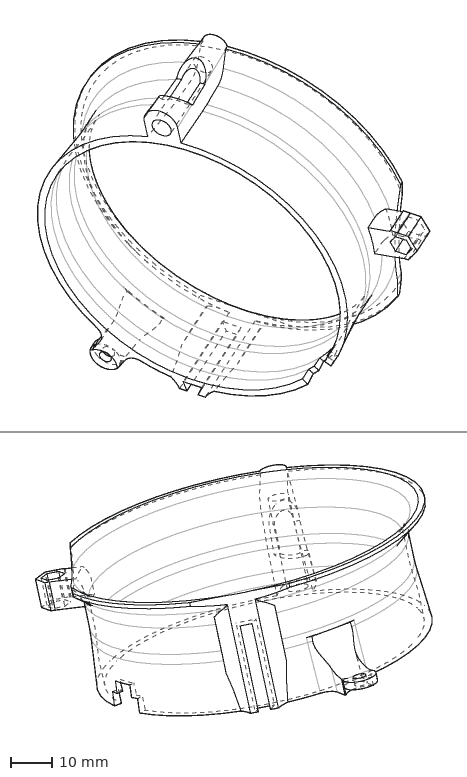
import cadquery as cq
import math

length = 30.5

wall = 1.3
front_radius = 41.3
barrel_radius = 40.0
barrel_front = 12.9
barrel_back = 15.5
flare_start = 22.3
flare_bend = 5.5
throat_bend = 8.1
flare_angle = 50
flange_radius = 45.6
lip_radius = 39.3
lip_end = 3.6
lip_ramp_end = 6.8

bottom_flat = 43.9
side_flat = 41.6
side_flat_end = 12.2
side_lean_x = 40.8
side_lean_z = 20.65

boss_angle = 100.5
boss_front_half_width = 4.5
boss_front_centre = 46.0
boss_back_half_width = 3.3
boss_back_centre = 45.2
boss_hole_centre = 44.9
boss_hole_radius = 2.5
boss_hole_depth = 23.5
window_floor = 45.4
window_mouth = 50.4
window_floor_span = (9.0, 16.7)
window_mouth_span = (5.6, 22.6)

nut_x = 46.8
nut_z = 10.1
nut_head_x = 46.4
nut_head_circumradius = 4.7
nut_flats = 5.0
nut_lug_front = 18.6
nut_lug_back = 25.9
nut_arm_half_width = 4.2

eye_angle = 241.2
eye_distance = 50.2
eye_radius = 4.1
eye_hole_radius = 1.6
eye_front = 2.2
eye_back = 4.1
eye_arm_half_width = 3.8
eye_arm_fillet = 3.4
gusset_height = 8.7
gusset_back = 14.2
end_margin = 0.1

foot_half_width = 3.4
foot_waist = (4.6, -42.1)
foot_root = (7.4, -39.7)
foot_core = 39.0
dovetail_top = 41.1
dovetail_half_width_top = 2.4
dovetail_half_width_bottom = 1.5

notch_angle = -34.3
notch_wide_half_angle = 7.6
notch_narrow_half_angle = 4.4

core_radius = 39.4
beyond = 58.7

cone_slope = math.atan((front_radius - barrel_radius) / ((barrel_front + barrel_back) / 2))
axis_start = (0, 0, 0)
axis_end = (0, 1, 0)


def turned_to(angle, body):
    """Turn a body modelled along +Z to the given angle, counted from +X towards +Z."""
    return body.rotate(axis_start, axis_end, 90 - angle)


def sketch_at(y):
    """Sketch plane across the ring axis with X to the right and Z up."""
    return cq.Workplane("XZ", origin=(0, y, 0))


def bend_outward(profile, start_radius, bend_radius):
    """Continue the barrel to the flare and bend it outward; also return where the bend ends."""

    def bend_point(degrees):
        a = math.radians(degrees)
        return (start_radius + bend_radius * (1 - math.cos(a)), flare_start + bend_radius * math.sin(a))

    bend_end = bend_point(flare_angle)
    profile = profile.lineTo(start_radius, flare_start)
    return profile.threePointArc(bend_point(flare_angle / 2), bend_end), bend_end


def blend_into_barrel(profile, radius):
    """Add the gentle arc from the front cone to the straight barrel."""
    span = barrel_back - barrel_front
    rise = span / 2 * math.tan(cone_slope)
    return profile.lineTo(radius + rise, barrel_front).threePointArc(
        (radius + rise / 4, (barrel_front + barrel_back) / 2), (radius, barrel_back))


def outer_body():
    """Ring without its bore."""
    profile = cq.Workplane("XY").lineTo(front_radius, 0)
    profile, (r, y) = bend_outward(blend_into_barrel(profile, barrel_radius), barrel_radius, flare_bend)
    rim_y = y + (flange_radius - r) / math.tan(math.radians(flare_angle))
    profile = profile.lineTo(flange_radius, rim_y).lineTo(flange_radius, length).lineTo(0, length).close()
    return profile.revolve(360, axis_start, axis_end)


def bore():
    """Inside of the ring: front lip, ramp, cone, barrel and throat of the flare."""
    ramp_end_radius = front_radius - wall - lip_ramp_end * math.tan(cone_slope)
    profile = cq.Workplane("XY").lineTo(lip_radius, 0).lineTo(lip_radius, lip_end)
    profile = profile.lineTo(ramp_end_radius, lip_ramp_end)
    radius = barrel_radius - wall
    profile, (r, y) = bend_outward(blend_into_barrel(profile, radius), radius, throat_bend)
    mouth = r + (length - y) * math.tan(math.radians(flare_angle))
    profile = profile.lineTo(mouth, length).lineTo(0, length).close()
    return profile.revolve(360, axis_start, axis_end)


def trim_envelope():
    """Everything inside the side flat and the bottom flat."""
    lean = (side_lean_x - side_flat) / (side_lean_z - side_flat_end)
    lean_bottom_x = side_flat + lean * (bottom_flat - side_flat_end)
    outline = [
        (-beyond, beyond),
        (side_flat, beyond),
        (side_flat, -side_flat_end),
        (lean_bottom_x, -bottom_flat),
        (-beyond, -bottom_flat),
    ]
    return sketch_at(0).polyline(outline).close().extrude(-length)


def foot():
    """Foot with concave flanks along the whole ring, ending at the bottom flat."""
    waist_x, waist_z = foot_waist
    root_x, root_z = foot_root
    outline = sketch_at(0).moveTo(-foot_half_width, -bottom_flat).lineTo(foot_half_width, -bottom_flat)
    outline = outline.threePointArc((waist_x, waist_z), (root_x, root_z)).lineTo(root_x, -foot_core)
    outline = outline.lineTo(-root_x, -foot_core).lineTo(-root_x, root_z)
    outline = outline.threePointArc((-waist_x, waist_z), (-foot_half_width, -bottom_flat)).close()
    return outline.extrude(-length)


def dovetail():
    """Blind dovetail slot in the foot."""
    top, bottom = dovetail_half_width_top, dovetail_half_width_bottom
    outline = [(-top, -dovetail_top), (top, -dovetail_top), (bottom, -bottom_flat), (-bottom, -bottom_flat)]
    return sketch_at(0).polyline(outline).close().extrude(-flare_start)


def boss_section(plane, half_width, centre):
    """Straight-sided section with a semicircular top about the given centre distance."""
    return (
        plane.moveTo(-half_width, core_radius).lineTo(half_width, core_radius).lineTo(half_width, centre)
        .threePointArc((0, centre + half_width), (-half_width, centre)).close()
    )


def boss():
    """Round-topped boss that narrows towards the flange."""
    front = boss_section(sketch_at(0), boss_front_half_width, boss_front_centre)
    sections = boss_section(front.workplane(offset=-length), boss_back_half_width, boss_back_centre)
    return turned_to(boss_angle, sections.loft(ruled=True))


def boss_cuts():
    """Blind screw hole and the flared window that opens it to the outside."""
    hole = sketch_at(0).center(0, boss_hole_centre).circle(boss_hole_radius).extrude(-boss_hole_depth)
    outline = [
        (window_floor_span[0], window_floor),
        (window_floor_span[1], window_floor),
        (window_mouth_span[1], window_mouth),
        (window_mouth_span[0], window_mouth),
    ]
    window = cq.Workplane("YZ").polyline(outline).close().extrude(2 * boss_front_half_width, both=True)
    return turned_to(boss_angle, hole.union(window))


def nut_lug():
    """Hexagonal head on a radial arm."""
    depth = nut_lug_back - nut_lug_front
    arm_angle = math.degrees(math.atan2(nut_z, nut_x))
    head = sketch_at(nut_lug_front).center(nut_head_x, nut_z)
    head = head.polygon(6, 2 * nut_head_circumradius).extrude(-depth)
    arm_end = math.hypot(nut_x, nut_z)
    arm = sketch_at(nut_lug_front).center(0, (core_radius + arm_end) / 2)
    arm = arm.rect(2 * nut_arm_half_width, arm_end - core_radius).extrude(-depth)
    return head.union(turned_to(arm_angle, arm))


def nut_pocket():
    """Hexagonal hole through the nut lug."""
    corner_diameter = nut_flats / math.cos(math.radians(30))
    pocket = sketch_at(nut_lug_front).center(nut_x, nut_z).polygon(6, corner_diameter)
    return pocket.extrude(nut_lug_front - nut_lug_back)


def ring_with_eye_arm():
    """Ring with the radial arm of the eye, filleted at its root and scooped out behind."""
    arm = sketch_at(0).center(0, (core_radius + eye_distance) / 2)
    arm = arm.rect(2 * eye_arm_half_width, eye_distance - core_radius).extrude(-gusset_back)
    roots = cq.selectors.BoxSelector(
        (-eye_radius, end_margin, core_radius), (eye_radius, gusset_back - end_margin, front_radius))
    body = outer_body().union(arm).edges(roots).fillet(eye_arm_fillet)

    bulge = 1 - math.sqrt(0.5)
    middle_y = eye_back + bulge * (gusset_back - eye_back)
    middle_r = barrel_radius + bulge * gusset_height
    scoop = (
        cq.Workplane("YZ").moveTo(gusset_back, barrel_radius)
        .threePointArc((middle_y, middle_r), (eye_back, barrel_radius + gusset_height))
        .lineTo(eye_back, beyond).lineTo(gusset_back, beyond).close()
        .extrude(2 * eye_radius, both=True)
    )
    return turned_to(eye_angle, body.cut(scoop))


def eye_cylinder(radius, start, end):
    """Cylinder about the eye centre, from y = start to y = end."""
    cylinder = sketch_at(start).center(0, eye_distance).circle(radius).extrude(start - end)
    return turned_to(eye_angle, cylinder)


def notch_wedge(half_angle, depth):
    """Wedge from the ring axis outward, cut into the front edge to the given depth."""
    half_width = beyond * math.tan(math.radians(half_angle))
    outline = [(0, 0), (half_width, beyond), (-half_width, beyond)]
    wedge = sketch_at(0).polyline(outline).close().extrude(-depth)
    return turned_to(notch_angle, wedge)


ring = ring_with_eye_arm().intersect(trim_envelope())
ring = ring.cut(eye_cylinder(eye_radius, 0, eye_front)).union(eye_cylinder(eye_radius, eye_front, eye_back))
ring = ring.cut(eye_cylinder(eye_hole_radius, 0, eye_back))
ring = ring.union(foot()).union(boss()).union(nut_lug())
ring = ring.cut(bore()).cut(boss_cuts()).cut(nut_pocket()).cut(dovetail())
ring = ring.cut(notch_wedge(notch_wide_half_angle, lip_end))
result = ring.cut(notch_wedge(notch_narrow_half_angle, lip_ramp_end))